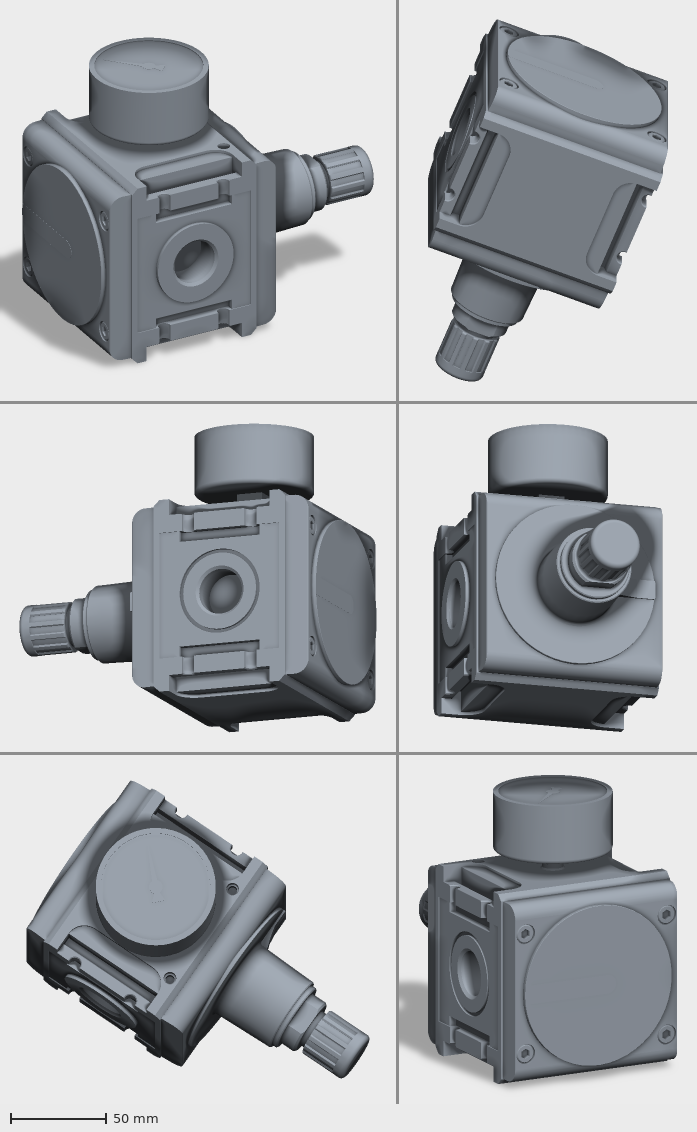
import cadquery as cq
import math


block_width = 99.9
block_half_x = block_width / 2
block_half_y = 37.0
block_half_z = 51.7
block_chamfer = 3.2

cover_half_x = 48.8
cover_half_z = 48.2
cover_end_half_x = 48.0
front_cover_end = 49.5
back_cover_end = 50.0
cover_round = 7.5
cover_bevel = 0.4

plate_diameter = 87.0
plate_edge = 0.2
back_plate_end = 51.8
pointer_width = 10.0
pointer_tip_x = 10.5
front_pointer_end = 52.0
front_pointer_rise = 0.09
front_plate_end = front_pointer_end - front_pointer_rise
ridge_base_y = 53.0
ridge_bend_x = -33.3
ridge_mid_y = 54.4
ridge_top_x = -21.6
ridge_top_y = 56.3
ridge_root_x = -18.0

screw_x = 41.8
screw_z = 32.5
screw_bore_diameter = 11.0
screw_bore_depth = 1.3
screw_head_diameter = 10.0
screw_head_sink = 0.4
screw_head_chamfer = 0.5
socket_across_flats = 4.9
socket_depth = 2.7
socket_turn = 30

bell_foot_radius = 23.2
bell_base_radius = 21.6
bell_base_y = 53.8
bell_top_radius = 20.5
bell_top_y = 87.0
bell_top_chamfer = 0.5
collar_radius = 18.7
collar_chamfer = 0.5
collar_top_y = 89.8
lock_ring_radius = 15.3
lock_ring_chamfer = 1.0
lock_ring_top_y = 99.0
lock_ring_flats = 26.3
knob_neck_diameter = 21.0
knob_neck_radius = knob_neck_diameter / 2
knob_radius = 13.5
knob_bottom_y = 102.2
knob_end_y = 128.0
knob_round = 2.3
knob_bottom_round = 0.9
rib_count = 12
rib_crest_half_width = 1.0
rib_foot_half_width = 1.6
rib_height = 0.9
rib_end_y = 121.7

panel_half = 33.8
panel_depth = 0.5
port_face_x = block_half_x - panel_depth
port_diameter = 24.1
port_mouth_diameter = 27.0
port_mouth_depth = 1.5
port_depth = 16.2
seal_outer_diameter = 45.2
seal_inner_diameter = 41.0
seal_groove_depth = 1.6
seal_boss_height = 1.6
seal_boss_end_x = block_half_x + seal_boss_height

seat_half_y = 28.5
seat_recess_depth = 1.8
seat_floor_z = block_half_z - seat_recess_depth
seat_inner_x = 29.3
seat_corner_radius = 10.0
slot_inner_x = 39.0
slot_floor_z = 38.7
ledge_top_z = 43.2
ledge_inner_x = 44.1
ledge_foot_x = 42.8
ledge_pocket_half_y = 22.7
ledge_pocket_inner_x = 45.5
ledge_pocket_floor_z = 28.3
pin_hole_x = 49.5
pin_hole_y = 17.6
pin_hole_diameter = 6.7
pin_hole_chamfer = 0.5

top_hole_offset = 29.0
top_hole_diameter = 4.9
top_hole_depth = 7.2
top_counterbore_diameter = 6.7
top_counterbore_depth = 3.5

gauge_radius = 31.5
gauge_top_z = 93.5
gauge_bottom_z = 61.7
gauge_bottom_round = 2.2
dial_radius = 28.6
dial_depth = 0.5
square_width = 14.0
square_bottom_z = 55.8
square_chamfer = 0.5
neck_diameter = 11.5
seat_cone_diameter = 13.1
seat_cone_z = 52.5
spigot_diameter = 11.0
spigot_length = 9.0
needle_height = 0.2
needle_hub_radius = 3.6
needle_length = 25.0
needle_thin_start = 19.8
needle_thin_half_width = 0.4
needle_waist_half_width = 1.6
needle_tail_length = 8.1
needle_tail_half_width = 3.6
needle_angle = 225


def box_between(x_range, y_range, z_range):
    size = [high - low for low, high in (x_range, y_range, z_range)]
    corner = (x_range[0], y_range[0], z_range[0])
    return cq.Workplane("XY").box(*size, centered=False).translate(corner)


def y_cylinder(radius, y_start, y_end, x=0.0, z=0.0):
    direction = cq.Vector(0, math.copysign(1, y_end - y_start), 0)
    solid = cq.Solid.makeCylinder(radius, abs(y_end - y_start), cq.Vector(x, y_start, z), direction)
    return cq.Workplane(obj=solid)


def x_cylinder(diameter, x_start, x_end):
    return cq.Workplane("YZ", origin=(x_start, 0, 0)).circle(diameter / 2).extrude(x_end - x_start)


def on_all_four_edges(tool):
    """The tool at the -X +Z edge, plus its mirror images at the other three edges along Y."""
    upper = tool.union(tool.mirror("YZ"))
    return upper.union(upper.mirror("XY"))


def spigot():
    """Round end of the gauge stem, and the hole of the same shape in the top of the housing."""
    end = cq.Workplane("XY", origin=(0, 0, block_half_z)).circle(spigot_diameter / 2)
    return end.extrude(-spigot_length)


def middle_block():
    block = box_between(
        (-block_half_x, block_half_x), (-block_half_y, block_half_y), (-block_half_z, block_half_z)
    )
    return block.edges("|X").chamfer(block_chamfer)


def cover(end_y):
    """One end cover: top and bottom edges rounded, sides narrowing towards a bevelled end at end_y."""
    side = math.copysign(1, end_y)
    rounded = (
        box_between(
            (-cover_half_x, cover_half_x),
            sorted((0, end_y)),
            (-cover_half_z, cover_half_z),
        )
        .edges("|X and " + (">Y" if side > 0 else "<Y"))
        .fillet(cover_round)
    )
    half_outline = [
        (cover_half_x, 0),
        (cover_half_x, side * block_half_y),
        (cover_end_half_x, end_y - side * cover_bevel),
        (cover_end_half_x - cover_bevel, end_y),
    ]
    other_half = [(-x, y) for x, y in reversed(half_outline)]
    tapered = cq.Workplane("XY").polyline(half_outline + other_half).close()
    return rounded.intersect(tapered.extrude(cover_half_z, both=True))


def end_plates():
    plates = y_cylinder(plate_diameter / 2, -front_plate_end, back_plate_end)
    return plates.faces("<Y or >Y").chamfer(plate_edge)


def front_pointer():
    """Raised bar with a round tip, running from the rim of the front plate past its centre."""
    half_width = pointer_width / 2
    tip_centre_x = pointer_tip_x - half_width
    bar = box_between((-plate_diameter / 2, tip_centre_x), (-front_pointer_end, 0), (-half_width, half_width))
    tip = y_cylinder(half_width, -front_pointer_end, 0, x=tip_centre_x)
    rim = y_cylinder(plate_diameter / 2, -front_pointer_end, 0)
    return bar.union(tip).intersect(rim)


def back_ridge():
    """Pointer on the back plate that sweeps up into the side of the bell."""
    bend_mid = ((ridge_bend_x + ridge_top_x) / 2, ridge_mid_y)
    ridge = (
        cq.Workplane("XY")
        .moveTo(-plate_diameter / 2, 0)
        .lineTo(-plate_diameter / 2, ridge_base_y)
        .lineTo(ridge_bend_x, ridge_base_y)
        .threePointArc(bend_mid, (ridge_top_x, ridge_top_y))
        .lineTo(ridge_root_x, ridge_top_y)
        .lineTo(ridge_root_x, 0)
        .close()
        .extrude(pointer_width / 2, both=True)
    )
    return ridge.intersect(y_cylinder(plate_diameter / 2, 0, ridge_top_y))


def bell_and_knob():
    """Turned shape about Y from the back plate to the end of the knob."""
    arc_inset = 1 - math.sqrt(0.5)
    foot_mid = (
        bell_base_radius + arc_inset * (bell_foot_radius - bell_base_radius),
        back_plate_end + arc_inset * (bell_base_y - back_plate_end),
    )
    bottom_mid = (knob_radius - arc_inset * knob_bottom_round, knob_bottom_y + arc_inset * knob_bottom_round)
    round_mid = (knob_radius - arc_inset * knob_round, knob_end_y - arc_inset * knob_round)
    return (
        cq.Workplane("XY")
        .moveTo(0, 0)
        .lineTo(bell_foot_radius, 0)
        .lineTo(bell_foot_radius, back_plate_end)
        .threePointArc(foot_mid, (bell_base_radius, bell_base_y))
        .lineTo(bell_top_radius, bell_top_y - bell_top_chamfer)
        .lineTo(bell_top_radius - bell_top_chamfer, bell_top_y)
        .lineTo(collar_radius, bell_top_y)
        .lineTo(collar_radius, collar_top_y - collar_chamfer)
        .lineTo(collar_radius - collar_chamfer, collar_top_y)
        .lineTo(knob_neck_radius, collar_top_y)
        .lineTo(knob_neck_radius, knob_bottom_y)
        .lineTo(knob_radius - knob_bottom_round, knob_bottom_y)
        .threePointArc(bottom_mid, (knob_radius, knob_bottom_y + knob_bottom_round))
        .lineTo(knob_radius, knob_end_y - knob_round)
        .threePointArc(round_mid, (knob_radius - knob_round, knob_end_y))
        .lineTo(0, knob_end_y)
        .close()
        .revolve(360, (0, 0, 0), (0, 1, 0))
    )


def lock_ring():
    """Round nut with two flats facing up and down."""
    ring = y_cylinder(lock_ring_radius, collar_top_y, lock_ring_top_y).faces(">Y").chamfer(lock_ring_chamfer)
    flats = box_between(
        (-lock_ring_radius, lock_ring_radius),
        (collar_top_y, lock_ring_top_y),
        (-lock_ring_flats / 2, lock_ring_flats / 2),
    )
    return ring.intersect(flats)


def knob_flutes():
    """Material removed between the grip ribs, down to a round floor."""
    floor_radius = knob_radius - rib_height
    flutes = y_cylinder(knob_radius, knob_bottom_y, rib_end_y)
    flutes = flutes.cut(y_cylinder(floor_radius, knob_bottom_y, rib_end_y))
    rib_section = [
        (-rib_foot_half_width, 0),
        (-rib_foot_half_width, floor_radius),
        (-rib_crest_half_width, knob_radius),
        (rib_crest_half_width, knob_radius),
        (rib_foot_half_width, floor_radius),
        (rib_foot_half_width, 0),
    ]
    rib = cq.Workplane("XZ", origin=(0, knob_bottom_y, 0)).polyline(rib_section).close()
    rib = rib.extrude(knob_bottom_y - rib_end_y)
    for index in range(rib_count):
        flutes = flutes.cut(rib.rotate((0, 0, 0), (0, 1, 0), 360 / rib_count * index))
    return flutes


def pin_hole(y):
    """Upright hole through a ledge, open at the side face, with a conical mouth at the top."""
    radius = pin_hole_diameter / 2
    mouth_radius = radius + pin_hole_chamfer
    bottom = cq.Vector(-pin_hole_x, y, panel_half)
    mouth_bottom = cq.Vector(-pin_hole_x, y, ledge_top_z - pin_hole_chamfer)
    bore = cq.Solid.makeCylinder(radius, ledge_top_z - panel_half, bottom)
    mouth = cq.Solid.makeCone(radius, mouth_radius, pin_hole_chamfer, mouth_bottom)
    return cq.Workplane(obj=bore.fuse(mouth))


def seat_cuts():
    """One clamp seat at the -X +Z edge: shallow recess, slot behind a ledge, pocket, pin holes."""
    seat_y = (-seat_half_y, seat_half_y)
    recess = box_between((-block_half_x, -seat_inner_x), seat_y, (seat_floor_z, block_half_z))
    recess = recess.edges("|Z and >X").fillet(seat_corner_radius)
    slot_section = [
        (-block_half_x, seat_floor_z),
        (-slot_inner_x, seat_floor_z),
        (-slot_inner_x, slot_floor_z),
        (-ledge_foot_x, slot_floor_z),
        (-ledge_inner_x, ledge_top_z),
        (-block_half_x, ledge_top_z),
    ]
    slot = cq.Workplane("XZ").polyline(slot_section).close().extrude(seat_half_y, both=True)
    pocket = box_between(
        (-block_half_x, -ledge_pocket_inner_x),
        (-ledge_pocket_half_y, ledge_pocket_half_y),
        (ledge_pocket_floor_z, panel_half),
    )
    cuts = recess.union(slot).union(pocket)
    for y in (-pin_hole_y, pin_hole_y):
        cuts = cuts.union(pin_hole(y))
    return cuts


def port_panels():
    """Shallow square recesses in both port faces."""
    square = (-panel_half, panel_half)
    left = box_between((-block_half_x, -port_face_x), square, square)
    return left.union(left.mirror("YZ"))


def port_bore(face_x):
    """Blind bore entering from the given X towards the middle, with a conical mouth."""
    inward = -math.copysign(1, face_x)
    start = cq.Vector(face_x, 0, 0)
    direction = cq.Vector(inward, 0, 0)
    bore = cq.Solid.makeCylinder(port_diameter / 2, port_depth, start, direction)
    mouth = cq.Solid.makeCone(port_mouth_diameter / 2, port_diameter / 2, port_mouth_depth, start, direction)
    return cq.Workplane(obj=bore.fuse(mouth))


def seal_groove():
    groove_floor_x = -port_face_x + seal_groove_depth
    outer = x_cylinder(seal_outer_diameter, -port_face_x, groove_floor_x)
    return outer.cut(x_cylinder(seal_inner_diameter, -port_face_x, groove_floor_x))


def top_hole(x):
    top = cq.Workplane("XY", origin=(x, top_hole_offset, block_half_z))
    bore = top.circle(top_hole_diameter / 2).extrude(-top_hole_depth)
    counterbore = top.circle(top_counterbore_diameter / 2).extrude(-top_counterbore_depth)
    return bore.union(counterbore)


def screw_bore(x, z):
    return y_cylinder(screw_bore_diameter / 2, -front_cover_end, -front_cover_end + screw_bore_depth, x, z)


def screw_head(x, z):
    """Sunk screw head with a bevelled rim."""
    head_y = -front_cover_end + screw_head_sink
    head = y_cylinder(screw_head_diameter / 2, -front_cover_end + screw_bore_depth, head_y, x, z)
    return head.faces("<Y").chamfer(screw_head_chamfer)


def screw_socket(x, z):
    """Hexagon socket in a screw head, with one corner pointing up."""
    across_corners = socket_across_flats / math.cos(math.pi / 6)
    socket = cq.Workplane("XZ").polygon(6, across_corners).extrude(-socket_depth)
    socket = socket.rotate((0, 0, 0), (0, 1, 0), socket_turn)
    return socket.translate((x, -front_cover_end + screw_head_sink, z))


def build_housing():
    housing = middle_block().union(cover(-front_cover_end)).union(cover(back_cover_end))
    housing = housing.cut(port_panels())
    housing = housing.cut(on_all_four_edges(seat_cuts()))
    housing = housing.union(x_cylinder(seal_outer_diameter, 0, seal_boss_end_x))
    housing = housing.union(end_plates())
    housing = housing.union(front_pointer()).union(back_ridge())
    housing = housing.union(bell_and_knob()).union(lock_ring()).cut(knob_flutes())
    housing = housing.cut(seal_groove())
    for face_x in (-port_face_x, seal_boss_end_x):
        housing = housing.cut(port_bore(face_x))
    for x in (-top_hole_offset, top_hole_offset):
        housing = housing.cut(top_hole(x))
    for x in (-screw_x, screw_x):
        for z in (-screw_z, screw_z):
            housing = housing.cut(screw_bore(x, z))
            housing = housing.union(screw_head(x, z))
            housing = housing.cut(screw_socket(x, z))
    return housing.cut(spigot())


def needle():
    """Flat pointer on the dial: tapered tip, round hub and flared tail."""
    base = cq.Workplane("XY", origin=(0, 0, gauge_top_z - dial_depth))
    half_outline = [
        (needle_length, 0),
        (needle_thin_start, needle_thin_half_width),
        (0, needle_waist_half_width),
        (-needle_hub_radius, needle_waist_half_width),
        (-needle_tail_length, needle_tail_half_width),
    ]
    other_half = [(x, -y) for x, y in reversed(half_outline[1:])]
    blade = base.polyline(half_outline + other_half).close().extrude(needle_height)
    hub = base.circle(needle_hub_radius).extrude(needle_height)
    return blade.union(hub).rotate((0, 0, 0), (0, 0, 1), needle_angle)


def gauge_case():
    case = cq.Workplane("XY", origin=(0, 0, gauge_bottom_z)).circle(gauge_radius)
    case = case.extrude(gauge_top_z - gauge_bottom_z).faces("<Z").edges().fillet(gauge_bottom_round)
    dial = cq.Workplane("XY", origin=(0, 0, gauge_top_z)).circle(dial_radius)
    return case.cut(dial.extrude(-dial_depth))


def gauge_stem():
    """Wrench square, neck, seating cone and the spigot that fills the hole in the housing."""
    square = box_between(
        (-square_width / 2, square_width / 2),
        (-square_width / 2, square_width / 2),
        (square_bottom_z, gauge_bottom_z),
    )
    square = square.faces("<Z").chamfer(square_chamfer)
    neck = cq.Workplane("XY", origin=(0, 0, block_half_z)).circle(neck_diameter / 2)
    neck = neck.extrude(square_bottom_z - block_half_z)
    seat_cone = cq.Solid.makeCone(
        seat_cone_diameter / 2, neck_diameter / 2, seat_cone_z - block_half_z, cq.Vector(0, 0, block_half_z)
    )
    return square.union(neck).union(cq.Workplane(obj=seat_cone)).union(spigot())


def build_gauge():
    return gauge_case().union(needle()).union(gauge_stem())


housing = build_housing()
gauge = build_gauge()
result = cq.Compound.makeCompound([housing.solids().val(), gauge.solids().val()])